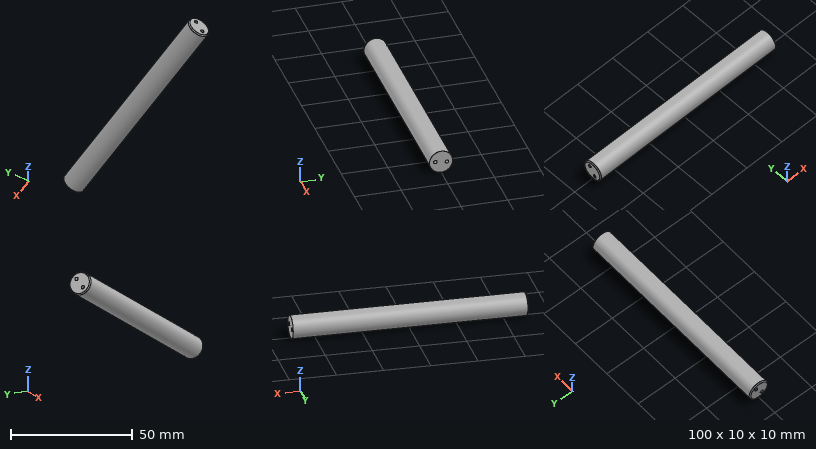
import math

import cadquery as cq

rod_length = 100
rod_diameter = 10
chamfer_size = 0.5

channel_diameter = 1.4
channel_y = 1.5
channel_z = 2
helix_angle = 30

helix_lead = math.pi * rod_diameter / math.tan(math.radians(helix_angle))
channel_twist = 360 * rod_length / helix_lead

end_plane = cq.Plane.YZ(origin=(-rod_length / 2, 0, 0))


def make_rod():
    rod = cq.Workplane(end_plane).circle(rod_diameter / 2).extrude(rod_length)
    return rod.faces("<X").chamfer(chamfer_size)


def make_channels():
    """Two right-handed helical channels, opposite each other about the rod axis."""
    centres = [(side * channel_y, side * channel_z) for side in (1, -1)]
    return (
        cq.Workplane(end_plane)
        .pushPoints(centres)
        .circle(channel_diameter / 2)
        .twistExtrude(rod_length, channel_twist)
    )


result = make_rod().cut(make_channels())